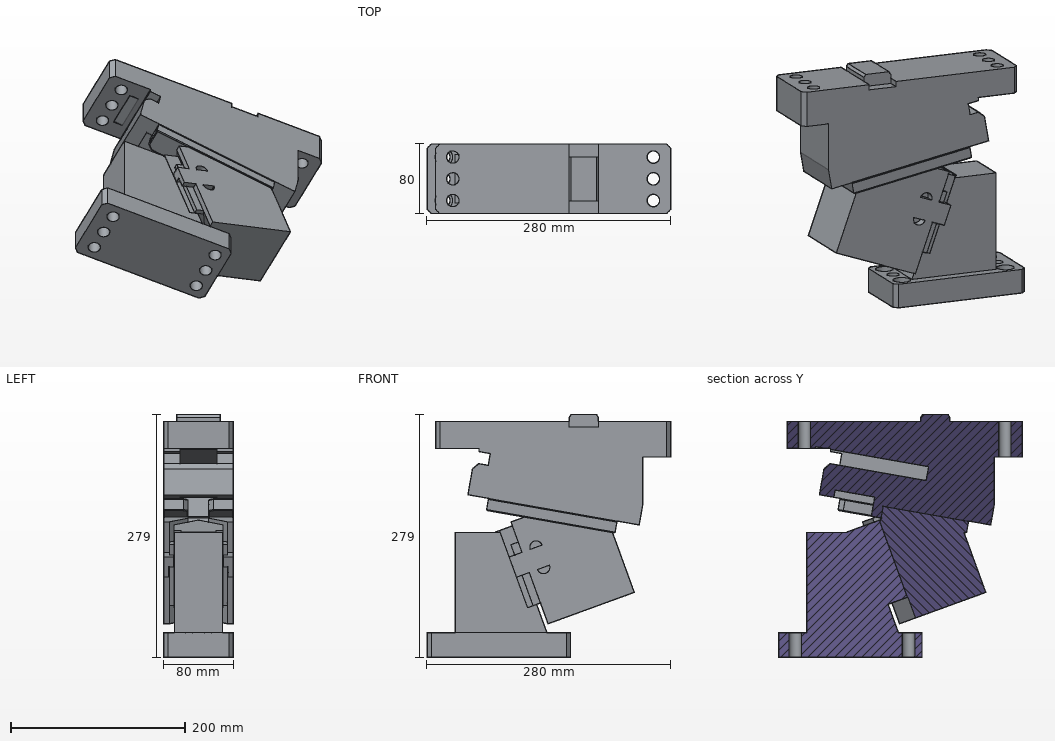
import cadquery as cq
import math

WIDTH = 80.0
HALF_WIDTH = WIDTH / 2
CORNER_CHAMFER = 5.0
HOLE_PITCH = 25.0
HOLE_DIAMETER = 14.0

DRIVE_ANGLE = 20.0
SLIDE_ANGLE = 10.0

BASE_LENGTH = 165.0
BASE_HEIGHT = 28.3
BASE_HOLES_X = (19.3, 149.2)
COUNTERBORE_DIAMETER = 20.2
COUNTERBORE_DEPTH = 8.5
POST_X = 32.2
POST_TOP = 143.5
POST_WIDTH = 55.5
POST_FACE = 139.2

RAIL_TOP = -108.5
RAIL_BOTTOM = -14.0
RAIL_BACK = 128.0
RAIL_OVERHANG = 0.3
RAIL_WIDTH = POST_WIDTH + 2 * RAIL_OVERHANG
RAIL_KEY_BACK = 123.0
RAIL_KEY_WIDTH = 40.3
RIDGE_OUT = 163.0
RIDGE_ANGLE = 30.0

SLIDE_TOP = -113.0
SLIDE_BOTTOM = 11.5
SLIDE_FACE = 143.5
SLIDE_BACK = 249.2
GUIDE_TOP = -88.5
GUIDE_BOTTOM = RAIL_BOTTOM
GUIDE_FACE = 134.7
GUIDE_OUTER_Y = 33.3
CLAW_TOP = -76.0
CLAW_BOTTOM = -51.2
CLAW_INNER_BOTTOM = -63.8
CLAW_INNER_Y = 28.5
CLAW_STEP_Y = 34.2
RELIEF_RADIUS = 7.3
RELIEF_OUT = 161.0

STRIP_START = 37.8
STRIP_END = 188.0
STRIP_BOTTOM = 177.8
STRIP_EDGE = 1.0
SLOT_WIDTH = 23.5
SLOT_END = 88.0
SLOT_MOUTH_WIDTH = 34.7
SLOT_MOUTH_DEPTH = 6.2

HOLDER_LEFT = 9.8
HOLDER_RIGHT = 280.0
HOLDER_TOP = 270.8
LEFT_FLANGE_BOTTOM = 239.7
RIGHT_FLANGE_BOTTOM = 230.0
RIGHT_WALL_X = 247.8
HOLDER_BOTTOM = 191.8
HOLDER_START = 13.7
HOLDER_END = 213.5
NOSE_CHAMFER_START = 222.0
NOSE_CHAMFER_END = 20.0
NOTCH_FLOOR = 229.3
NOTCH_CEILING = 242.8
NOTCH_BACK = 30.8
NOTCH_LIP_X = 59.5
SPRING_CEILING = 245.3
SPRING_WIDTH = 42.8
SPRING_END = 131.5
STOP_POCKET_START = 30.8
STOP_POCKET_DEPTH = 8.5
STOP_FACE = 76.7
HOLDER_HOLES_X = (29.7, 259.8)
KEY_X = 163.2
KEY_LENGTH = 33.5
KEYWAY_FLOOR = 264.5
KEY_WIDTH = 50.5
KEY_TOP = 279.0
KEY_CHAMFER_RUN = 2.2
KEY_CHAMFER_DROP = 3.5


DRIVE_SIN = math.sin(math.radians(DRIVE_ANGLE))
DRIVE_COS = math.cos(math.radians(DRIVE_ANGLE))
SLIDE_SIN = math.sin(math.radians(SLIDE_ANGLE))
SLIDE_COS = math.cos(math.radians(SLIDE_ANGLE))


def drive_point(out, down):
    """X, Z of a point given by its distances square to and down the drive slope."""
    return out * DRIVE_COS + down * DRIVE_SIN, out * DRIVE_SIN - down * DRIVE_COS


def slide_point(along, up):
    """X, Z of a point given by its distances along and square to the slide slope."""
    return along * SLIDE_COS + up * SLIDE_SIN, up * SLIDE_COS - along * SLIDE_SIN


def prism(points, y_min, y_max):
    """Extrude an outline of X, Z points from y_min to y_max."""
    return cq.Workplane("XZ", origin=(0, y_max, 0)).polyline(points).close().extrude(y_max - y_min)


def centred_prism(points, width):
    return prism(points, -width / 2, width / 2)


def box_outline(to_xz, first, second):
    """X, Z corners of a rectangle between two ranges of sloped coordinates."""
    corners = [
        (first[0], second[0]),
        (first[1], second[0]),
        (first[1], second[1]),
        (first[0], second[1]),
    ]
    return [to_xz(*corner) for corner in corners]


def drive_prism(section, top, bottom):
    """Extrude a section of (out, Y) points down the drive slope."""
    x, z = drive_point(0, top)
    plane = cq.Plane(
        origin=(x, 0, z),
        xDir=(DRIVE_COS, 0, DRIVE_SIN),
        normal=(DRIVE_SIN, 0, -DRIVE_COS),
    )
    return cq.Workplane(plane).polyline(section).close().extrude(bottom - top)


def ridge_section(back, half_width):
    """Section of a V-shaped ridge with straight sides behind it."""
    shoulder = RIDGE_OUT - half_width * math.tan(math.radians(RIDGE_ANGLE))
    return [
        (back, -half_width),
        (shoulder, -half_width),
        (RIDGE_OUT, 0),
        (shoulder, half_width),
        (back, half_width),
    ]


def both_sides(shape):
    return shape.union(shape.mirror("XZ"))


def make_driver():
    return make_base().union(make_post()).union(make_rail())


def make_base():
    base = (
        cq.Workplane("XY")
        .box(BASE_LENGTH, WIDTH, BASE_HEIGHT, centered=(False, True, False))
        .edges("|Z")
        .chamfer(CORNER_CHAMFER)
    )
    counterbored = [(x, side * HOLE_PITCH) for x in BASE_HOLES_X for side in (-1, 1)]
    plain = [(x, 0) for x in BASE_HOLES_X]
    top = cq.Workplane("XY", origin=(0, 0, BASE_HEIGHT))
    counterbores = top.pushPoints(counterbored).circle(COUNTERBORE_DIAMETER / 2).extrude(-COUNTERBORE_DEPTH)
    holes = top.pushPoints(counterbored + plain).circle(HOLE_DIAMETER / 2).extrude(-BASE_HEIGHT)
    return base.cut(counterbores).cut(holes)


def make_post():
    def face_x(z):
        return (POST_FACE - z * DRIVE_SIN) / DRIVE_COS

    outline = [
        (POST_X, BASE_HEIGHT),
        (face_x(BASE_HEIGHT), BASE_HEIGHT),
        (face_x(POST_TOP), POST_TOP),
        (POST_X, POST_TOP),
    ]
    return centred_prism(outline, POST_WIDTH)


def make_rail():
    rail = drive_prism(ridge_section(RAIL_BACK, RAIL_WIDTH / 2), RAIL_TOP, RAIL_BOTTOM)
    key_outline = box_outline(drive_point, (RAIL_KEY_BACK, RAIL_BACK), (RAIL_TOP, RAIL_BOTTOM))
    return rail.union(centred_prism(key_outline, RAIL_KEY_WIDTH))


def make_slide():
    v_groove = drive_prism(ridge_section(RAIL_BACK, GUIDE_OUTER_Y), SLIDE_TOP, SLIDE_BOTTOM)
    slot = centred_prism(box_outline(slide_point, (0, SLOT_END), (0, STRIP_BOTTOM)), SLOT_WIDTH)
    block = make_slide_block().cut(v_groove).cut(slot)
    return block.union(make_guides()).cut(make_reliefs()).union(make_strip())


def make_slide_block():
    meeting_angle = math.radians(DRIVE_ANGLE + SLIDE_ANGLE)
    top_end_out = (STRIP_BOTTOM + SLIDE_TOP * math.cos(meeting_angle)) / math.sin(meeting_angle)
    back_end_down = (SLIDE_BACK * math.sin(meeting_angle) - STRIP_BOTTOM) / math.cos(meeting_angle)
    outline = [
        drive_point(SLIDE_FACE, SLIDE_TOP),
        drive_point(top_end_out, SLIDE_TOP),
        drive_point(SLIDE_BACK, back_end_down),
        drive_point(SLIDE_BACK, SLIDE_BOTTOM),
        drive_point(SLIDE_FACE, SLIDE_BOTTOM),
    ]
    return centred_prism(outline, WIDTH)


def make_guides():
    """Inner guides beside the rail and the stepped claws outside them."""
    guide_outline = box_outline(drive_point, (GUIDE_FACE, RELIEF_OUT), (GUIDE_TOP, GUIDE_BOTTOM))
    claw_outline = box_outline(drive_point, (RAIL_BACK, RELIEF_OUT), (CLAW_TOP, CLAW_BOTTOM))
    step_outline = box_outline(drive_point, (RAIL_BACK, RELIEF_OUT), (CLAW_TOP, CLAW_INNER_BOTTOM))
    guide = prism(guide_outline, RAIL_WIDTH / 2, GUIDE_OUTER_Y)
    claw = prism(claw_outline, CLAW_STEP_Y, HALF_WIDTH)
    step = prism(step_outline, CLAW_INNER_Y, HALF_WIDTH)
    return both_sides(guide.union(claw).union(step))


def half_round(down, side):
    """Half-round pocket on the +Y flank, curved towards the given side of its flat."""
    return (
        cq.Workplane("XZ", origin=(0, HALF_WIDTH, 0))
        .moveTo(*drive_point(RELIEF_OUT - RELIEF_RADIUS, down))
        .threePointArc(
            drive_point(RELIEF_OUT, down + side * RELIEF_RADIUS),
            drive_point(RELIEF_OUT + RELIEF_RADIUS, down),
        )
        .close()
        .extrude(HALF_WIDTH - CLAW_INNER_Y)
    )


def make_reliefs():
    """Half-round pockets in line with the top and bottom of the claws."""
    return both_sides(half_round(CLAW_TOP, -1).union(half_round(CLAW_BOTTOM, 1)))


def make_strip():
    """Slotted wear strip, drawn level and then tilted to the slide slope."""
    mouth = SLOT_MOUTH_WIDTH / 2
    slot = SLOT_WIDTH / 2
    throat = STRIP_START + SLOT_MOUTH_DEPTH
    strip = (
        cq.Workplane("XY", origin=(0, 0, STRIP_BOTTOM))
        .polyline(
            [
                (STRIP_START, -HALF_WIDTH),
                (STRIP_END, -HALF_WIDTH),
                (STRIP_END, HALF_WIDTH),
                (STRIP_START, HALF_WIDTH),
                (STRIP_START, mouth),
                (throat, slot),
                (SLOT_END, slot),
                (SLOT_END, -slot),
                (throat, -slot),
                (STRIP_START, -mouth),
            ]
        )
        .close()
        .extrude(HOLDER_BOTTOM - STRIP_BOTTOM)
        .faces("<Z or >Z")
        .edges()
        .chamfer(STRIP_EDGE)
    )
    return strip.rotate((0, 0, 0), (0, 1, 0), SLIDE_ANGLE)


def make_holder():
    body = make_holder_body().cut(make_spring_pocket()).cut(make_stop_pocket())
    body = body.cut(make_holder_holes()).cut(make_keyway())
    return body.union(make_stop()).union(make_key())


def make_holder_body():
    notch_lip_z = (NOTCH_CEILING - NOTCH_LIP_X * SLIDE_SIN) / SLIDE_COS
    right_wall_end_z = (RIGHT_WALL_X * SLIDE_COS - HOLDER_END) / SLIDE_SIN
    outline = [
        (HOLDER_LEFT, HOLDER_TOP),
        (HOLDER_LEFT, LEFT_FLANGE_BOTTOM),
        (NOTCH_LIP_X, LEFT_FLANGE_BOTTOM),
        (NOTCH_LIP_X, notch_lip_z),
        slide_point(NOTCH_BACK, NOTCH_CEILING),
        slide_point(NOTCH_BACK, NOTCH_FLOOR),
        slide_point(NOSE_CHAMFER_END, NOTCH_FLOOR),
        slide_point(HOLDER_START, NOSE_CHAMFER_START),
        slide_point(HOLDER_START, HOLDER_BOTTOM),
        slide_point(HOLDER_END, HOLDER_BOTTOM),
        (RIGHT_WALL_X, right_wall_end_z),
        (RIGHT_WALL_X, RIGHT_FLANGE_BOTTOM),
        (HOLDER_RIGHT, RIGHT_FLANGE_BOTTOM),
        (HOLDER_RIGHT, HOLDER_TOP),
    ]
    body = centred_prism(outline, WIDTH)
    for end in ("<X", ">X"):
        body = body.faces(end).edges("|Z").chamfer(CORNER_CHAMFER)
    return body


def make_spring_pocket():
    """Blind pocket that runs from the notch parallel to the slide slope."""
    outline = box_outline(slide_point, (0, SPRING_END), (NOTCH_FLOOR, SPRING_CEILING))
    return centred_prism(outline, SPRING_WIDTH)


def make_stop_pocket():
    """Shallow recess in the sliding face, in front of the stop."""
    pocket_ceiling = HOLDER_BOTTOM + STOP_POCKET_DEPTH
    outline = box_outline(slide_point, (STOP_POCKET_START, STOP_FACE), (HOLDER_BOTTOM, pocket_ceiling))
    return centred_prism(outline, SPRING_WIDTH)


def make_stop():
    """Tongue that closes the end of the slide's slot."""
    outline = box_outline(slide_point, (STOP_FACE, SLOT_END), (STRIP_BOTTOM, HOLDER_BOTTOM))
    return centred_prism(outline, SLOT_WIDTH)


def make_holder_holes():
    points = [(x, row * HOLE_PITCH) for x in HOLDER_HOLES_X for row in (-1, 0, 1)]
    return (
        cq.Workplane("XY", origin=(0, 0, RIGHT_FLANGE_BOTTOM))
        .pushPoints(points)
        .circle(HOLE_DIAMETER / 2)
        .extrude(HOLDER_TOP - RIGHT_FLANGE_BOTTOM)
    )


def make_keyway():
    depth = HOLDER_TOP - KEYWAY_FLOOR
    return cq.Workplane("XY", origin=(KEY_X, 0, KEYWAY_FLOOR)).box(
        KEY_LENGTH, WIDTH, depth, centered=(False, True, False)
    )


def make_key():
    end = KEY_X + KEY_LENGTH
    shoulder = KEY_TOP - KEY_CHAMFER_DROP
    return centred_prism(
        [
            (KEY_X, KEYWAY_FLOOR),
            (end, KEYWAY_FLOOR),
            (end, shoulder),
            (end - KEY_CHAMFER_RUN, KEY_TOP),
            (KEY_X + KEY_CHAMFER_RUN, KEY_TOP),
            (KEY_X, shoulder),
        ],
        KEY_WIDTH,
    )


driver = make_driver()
slide = make_slide()
holder = make_holder()

result = cq.Compound.makeCompound([driver.solids().val(), slide.solids().val(), holder.solids().val()])